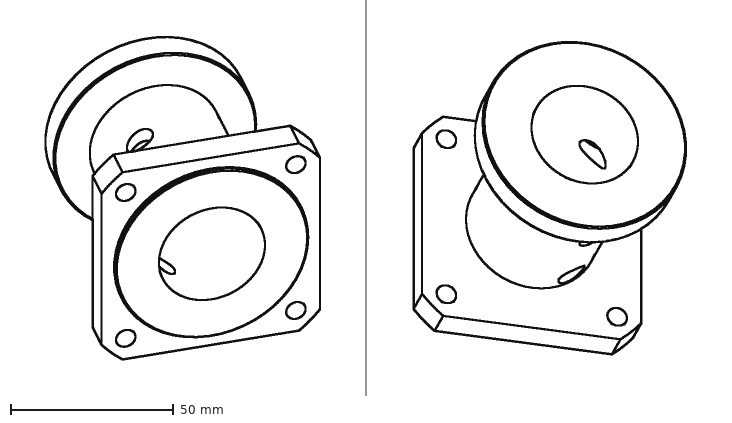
import cadquery as cq

flange_diameter = 65.0
flange_thickness = 10.0
flange_chamfer = 0.5
tube_diameter = 42.0
bore_diameter = 34.0
plate_side = 70.0
plate_corner_diameter = 90.0
plate_thickness = 10.0
spigot_diameter = 62.0
spigot_chamfer = 0.5
overall_length = 73.0
spigot_height = 1.3
bolt_hole_diameter = 6.2
bolt_spacing = 54.5
cross_hole_diameter = 8.0
cross_hole_stations = (32.0, 56.7)
cross_hole_offset = -11.25

plate_end = overall_length - spigot_height
plate_start = plate_end - plate_thickness


def cylinder_x(diameter, start, end):
    """Solid cylinder on the X axis between two stations."""
    return cq.Workplane("YZ").workplane(offset=start).circle(diameter / 2).extrude(end - start)


def make_flange():
    """Round flange with both rims chamfered."""
    return cylinder_x(flange_diameter, 0, flange_thickness).edges().chamfer(flange_chamfer)


def make_plate():
    """Square mounting plate, its corners rounded off to a common circle, with four bolt holes."""
    square = (
        cq.Workplane("YZ")
        .workplane(offset=plate_start)
        .rect(plate_side, plate_side)
        .extrude(plate_thickness)
    )
    plate = square.intersect(cylinder_x(plate_corner_diameter, plate_start, plate_end))
    bolt_holes = (
        cq.Workplane("YZ")
        .workplane(offset=plate_start)
        .rect(bolt_spacing, bolt_spacing, forConstruction=True)
        .vertices()
        .circle(bolt_hole_diameter / 2)
        .extrude(plate_thickness)
    )
    return plate.cut(bolt_holes)


def make_spigot():
    """Low centring spigot behind the plate, chamfered at its outer end."""
    return cylinder_x(spigot_diameter, plate_start, overall_length).edges(">X").chamfer(spigot_chamfer)


def make_cross_holes():
    """Vertical holes through the tube wall, beside the tube axis."""
    return (
        cq.Workplane("XY")
        .pushPoints([(station, cross_hole_offset) for station in cross_hole_stations])
        .circle(cross_hole_diameter / 2)
        .extrude(tube_diameter / 2, both=True)
    )


tube = cylinder_x(tube_diameter, 0, plate_end)
bore = cylinder_x(bore_diameter, 0, overall_length)

body = tube.union(make_flange()).union(make_plate()).union(make_spigot())
result = body.cut(bore).cut(make_cross_holes())